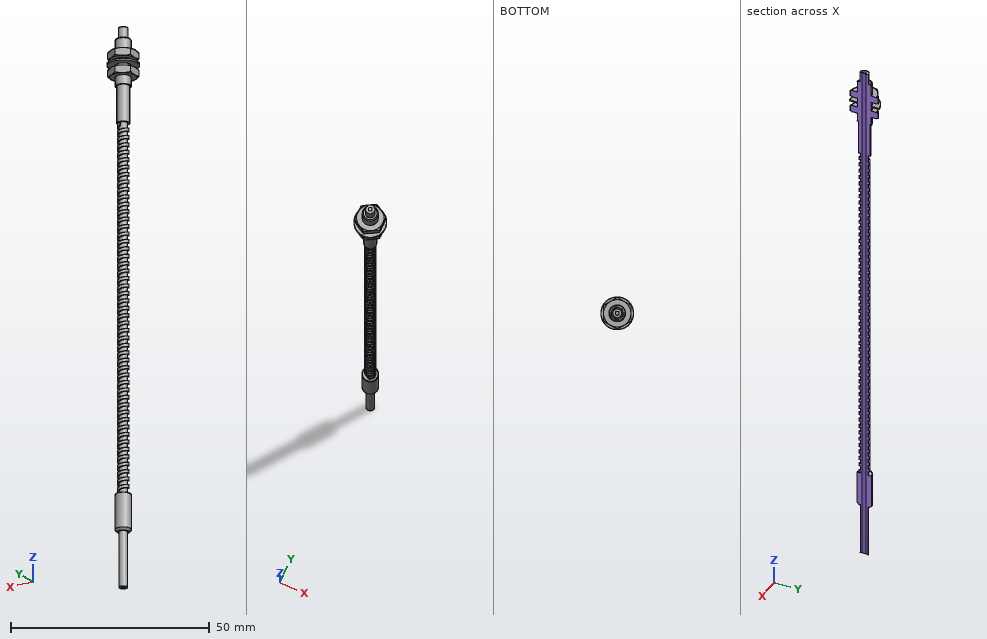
import cadquery as cq
import math

total_length = 150.7
cable_length = 14.9
sleeve_length = 10.1
coil_length = 100.0
tube_length = 10.0
tip_length = 3.0

sleeve_bottom = cable_length
sleeve_top = sleeve_bottom + sleeve_length
tube_bottom = sleeve_top + coil_length
thread_bottom = tube_bottom + tube_length
thread_top = total_length - tip_length

core_diameter = 1.0
cable_diameter = 2.3
sleeve_diameter = 4.2
coil_diameter = 3.0
tube_diameter = 3.3
thread_diameter = 4.0
tip_diameter = 2.4

sleeve_top_chamfer = 0.2
sleeve_bottom_chamfer = 0.6
thread_chamfer = 0.3

turn_count = 50
coil_pitch = coil_length / turn_count
strip_width = 0.86
coil_end_gap = 0.08
strip_root_diameter = 1.8
coil_start_angle = -90

nut_across_flats = 7.0
nut_across_corners = nut_across_flats / math.cos(math.pi / 6)
nut_thickness = 2.1
nut_chamfer_height = 0.3
nut_bottoms = [137.5, 142.1]

washer_diameter = 8.3
washer_thickness = 0.5
washer_bottom = 140.6


def cylinder(diameter, bottom, top):
    return cq.Workplane("XY").workplane(offset=bottom).circle(diameter / 2).extrude(top - bottom)


def make_sleeve():
    sleeve = cylinder(sleeve_diameter, sleeve_bottom, sleeve_top)
    sleeve = sleeve.faces(">Z").chamfer(sleeve_top_chamfer)
    return sleeve.faces("<Z").chamfer(sleeve_bottom_chamfer)


def make_barrel():
    barrel = cylinder(thread_diameter, thread_bottom, thread_top)
    return barrel.faces(">Z").chamfer(thread_chamfer)


def make_coil():
    """Rectangular strip on a helix, running from just above the sleeve to just below the tube."""
    root_radius = strip_root_diameter / 2
    strip_height = coil_diameter / 2 - root_radius
    helix = cq.Wire.makeHelix(coil_pitch, coil_length - strip_width - 2 * coil_end_gap, root_radius)
    return (
        cq.Workplane("XZ")
        .center(root_radius + strip_height / 2, 0)
        .rect(strip_height, strip_width)
        .sweep(cq.Workplane(helix), isFrenet=True)
        .rotate((0, 0, 0), (0, 0, 1), coil_start_angle)
        .translate((0, 0, sleeve_top + coil_end_gap + strip_width / 2))
    )


def make_nut(bottom):
    """Hexagon whose corners are chamfered at both ends."""
    hexagon = (
        cq.Workplane("XY", origin=(0, 0, bottom))
        .transformed(rotate=(0, 0, 90))
        .polygon(6, nut_across_corners)
        .extrude(nut_thickness)
    )
    chamfer_depth = (nut_across_corners - nut_across_flats) / 2
    envelope = cylinder(nut_across_corners, bottom, bottom + nut_thickness)
    envelope = envelope.faces("<Z or >Z").edges().chamfer(nut_chamfer_height, chamfer_depth)
    return hexagon.intersect(envelope)


def make_washer():
    return cylinder(washer_diameter, washer_bottom, washer_bottom + washer_thickness)


def make_core():
    """Light-guiding core, flush with both ends."""
    return cylinder(core_diameter, 0, total_length)


def make_fiber_unit():
    """Cable, sleeve, coil, tube, barrel, tip, nuts and washer as one body, bored for the core."""
    unit = cylinder(cable_diameter, 0, tube_bottom)
    unit = unit.union(make_coil())
    unit = unit.union(make_sleeve())
    unit = unit.union(cylinder(tube_diameter, tube_bottom, thread_bottom))
    unit = unit.union(make_barrel())
    unit = unit.union(cylinder(tip_diameter, thread_top, total_length))
    for bottom in nut_bottoms:
        unit = unit.union(make_nut(bottom))
    unit = unit.union(make_washer())
    return unit.cut(make_core()).solids()


fiber_unit = make_fiber_unit()
core = make_core()
result = cq.Compound.makeCompound([fiber_unit.val(), core.val()])